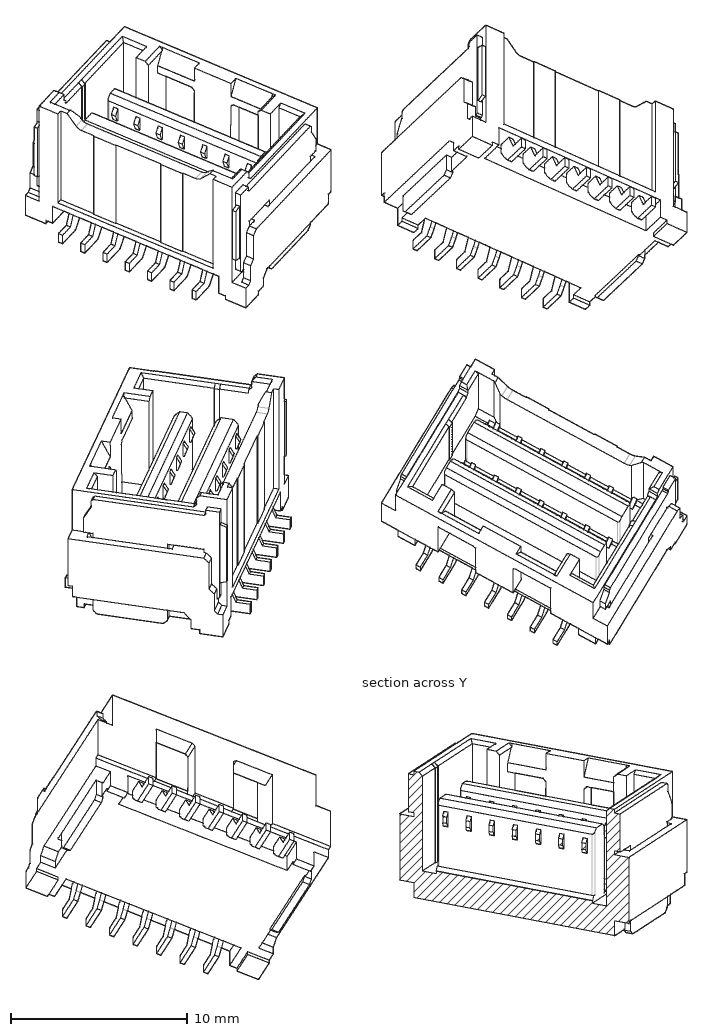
import cadquery as cq
LENGTH = 14.8
PIN_SPAN = 10.85
HEIGHT = 8.82

BODY_LENGTH = 12.95
BODY_DEPTH = 9.09
BODY_BOTTOM = 0.06
RIM_Z = 7.99
RAISED_Y = -2.77
RAISED_CHAMFER = 0.19
FLOOR_Z = 2.04
UNDERSIDE_Z = 0.31

HALF_LENGTH = LENGTH / 2
BODY_X = BODY_LENGTH / 2
BODY_Y = BODY_DEPTH / 2
REAR_STEP_Y = BODY_Y - 0.27

CAVITY_X = 5.92
CAVITY_REAR = 3.57
CAVITY_FRONT = -3.92
RIM_CHAMFER = 0.2
RIM_X = CAVITY_X + RIM_CHAMFER
RIM_REAR = CAVITY_REAR + RIM_CHAMFER

COLUMN_X = 1.23
RIB_INNER_X = 3.69
RIB_OUTER_X = 4.5
RIB_FRONT = 2.66
LATCH_FRONT = 3.67
LATCH_REAR = 4.19

RAIL_X = 5.05
RAIL_TOP = 6.45
REAR_RAIL = (1.54, 0.46)
FRONT_RAIL = (-0.89, -2.23)
RAIL_TOE = 0.13
RAIL_TOE_Z = 2.44
PLATFORM_Z = FLOOR_Z + 0.15
BASE_SLOPE = 0.15
CONTACT_ROOT = 0.45
LIP_Y = -3.58

PIN_COUNT = 7
PIN_PITCH = 1.5
PIN_WIDTH = 0.28
HALF_PIN = PIN_WIDTH / 2
PIN_RECESS_Z = 1.6
PIN_RECESS_Y = 3.11
PIN_XS = [PIN_PITCH * (i - (PIN_COUNT - 1) / 2) for i in range(PIN_COUNT)]

PLATE_TOP = 5.24
PLATE_INNER_X = 6.93
SHELF_Z = 1.57
SKIRT_Z = 1.33
CLIP_X = 6.84
CLIP_BOTTOM = 2.22
TAIL_REAR = 3.23
TAIL_FRONT = -1.14

OVERLAP = 0.07


def box(x0, x1, y0, y1, z0, z1):
    """Axis-aligned block between the given limits."""
    return cq.Workplane("XY").box(x1 - x0, y1 - y0, z1 - z0, centered=False).translate((x0, y0, z0))


def prism_x(outline, x0, x1):
    """(Y, Z) outline extruded from x0 to x1."""
    return cq.Workplane("YZ").polyline(outline).close().extrude(x1 - x0).translate((x0, 0, 0))


def prism_y(outline, y0, y1):
    """(X, Z) outline extruded from y0 to y1."""
    return cq.Workplane("XZ").polyline(outline).close().extrude(y0 - y1).translate((0, y0, 0))


def both_sides(shape):
    """The shape together with its mirror image across X = 0."""
    return shape.union(shape.mirror("YZ"))


def body_block():
    """Central block, raised along the front."""
    outline = [
        (-BODY_Y, BODY_BOTTOM),
        (REAR_STEP_Y, BODY_BOTTOM),
        (REAR_STEP_Y, FLOOR_Z),
        (BODY_Y, FLOOR_Z),
        (BODY_Y, RIM_Z),
        (RAISED_Y + RAISED_CHAMFER, RIM_Z),
        (RAISED_Y, RIM_Z + RAISED_CHAMFER),
        (RAISED_Y, HEIGHT - RAISED_CHAMFER),
        (RAISED_Y - RAISED_CHAMFER, HEIGHT),
        (-BODY_Y, HEIGHT),
    ]
    return prism_x(outline, -BODY_X, BODY_X)


def tail_slot(bottom_z):
    """Slot for the clip tail, with a lead-in slope at its rear end."""
    front_y = -1.45
    rear_y = 3.35
    lead_in = 0.2
    outline = [
        (front_y, bottom_z),
        (rear_y, bottom_z),
        (rear_y, PLATE_TOP - 2 * lead_in),
        (rear_y + lead_in, PLATE_TOP),
        (front_y, PLATE_TOP),
    ]
    return prism_x(outline, BODY_X, PLATE_INNER_X)


def front_slot():
    """Slot open to the front, with a 45 degree slope at its rear end."""
    rear_y = -2.85
    slope = 0.59
    outline = [
        (-BODY_Y, SHELF_Z),
        (rear_y - slope, SHELF_Z),
        (rear_y - slope, PLATE_TOP - slope),
        (rear_y, PLATE_TOP),
        (-BODY_Y, PLATE_TOP),
    ]
    return prism_x(outline, BODY_X, PLATE_INNER_X)


def side_plates():
    """Outer plates with a stepped front end and a relief below; only +X has a front slot."""
    nose_y = -3.73
    chin_y = -4.04
    relief_front = -2.66
    outline = [
        (-BODY_Y, BODY_BOTTOM),
        (REAR_STEP_Y, BODY_BOTTOM),
        (REAR_STEP_Y, FLOOR_Z),
        (BODY_Y, FLOOR_Z),
        (BODY_Y, PLATE_TOP),
        (-3.42, PLATE_TOP),
        (nose_y, 4.96),
        (nose_y, 3.18),
        (chin_y, 2.9),
        (chin_y, 1.76),
        (-4.23, SHELF_Z),
        (-BODY_Y, SHELF_Z),
    ]
    plate = prism_x(outline, BODY_X - OVERLAP, HALF_LENGTH)
    relief = [
        (BODY_Y, 0),
        (BODY_Y, SKIRT_Z),
        (-2.26, SKIRT_Z),
        (relief_front, 0.9),
        (relief_front, 0),
    ]
    plate = plate.cut(prism_x(relief, BODY_X, HALF_LENGTH))
    right_plate = plate.cut(tail_slot(0)).cut(front_slot())
    left_plate = plate.cut(tail_slot(CLIP_BOTTOM)).mirror("YZ")
    return right_plate.union(left_plate)


def side_walls_opening(front_y, rear_y, top_z):
    """Cavity length whose side walls end in a chamfered rim at top_z."""
    chamfer_z = top_z - RIM_CHAMFER
    outline = [
        (-CAVITY_X, FLOOR_Z),
        (CAVITY_X, FLOOR_Z),
        (CAVITY_X, chamfer_z),
        (RIM_X, top_z),
        (-RIM_X, top_z),
        (-CAVITY_X, chamfer_z),
    ]
    return prism_y(outline, front_y, rear_y)


def cavity():
    """Open cavity whose side and rear rims are chamfered."""
    step_y = RAISED_Y + RAISED_CHAMFER
    low_part = side_walls_opening(step_y, RIM_REAR, RIM_Z)
    raised_part = side_walls_opening(CAVITY_FRONT, step_y, HEIGHT)
    along = [
        (CAVITY_FRONT, FLOOR_Z),
        (CAVITY_REAR, FLOOR_Z),
        (CAVITY_REAR, RIM_Z - RIM_CHAMFER),
        (RIM_REAR, RIM_Z),
        (RIM_REAR, HEIGHT),
        (CAVITY_FRONT, HEIGHT),
    ]
    return low_part.union(raised_part).intersect(prism_x(along, -RIM_X, RIM_X))


def wall_ribs():
    """Small vertical ribs on the inner side walls, sloped at the top."""
    rib_x = 5.88
    rib_front = -0.89
    rib_rear = -0.58
    outline = [
        (RIM_X, FLOOR_Z - OVERLAP),
        (rib_x, FLOOR_Z - OVERLAP),
        (rib_x, RIM_Z - RIM_CHAMFER),
        (RIM_X, RIM_Z),
    ]
    return both_sides(prism_y(outline, rib_front, rib_rear))


def rear_wall_ribs():
    """Two guide ribs and the centre column standing on the rear wall."""
    column = box(-COLUMN_X, COLUMN_X, CAVITY_REAR, RIM_REAR, FLOOR_Z - OVERLAP, RIM_Z)
    rib = box(RIB_INNER_X, RIB_OUTER_X, RIB_FRONT, RIM_REAR, FLOOR_Z - OVERLAP, RIM_Z)
    return column.union(both_sides(rib))


def rear_wall_draft():
    """Shallow drafted recess of the rear wall between the guide ribs."""
    bottom_y = CAVITY_REAR + 0.05
    outline = [
        (CAVITY_REAR, FLOOR_Z),
        (bottom_y, FLOOR_Z),
        (LATCH_FRONT, RIM_Z),
        (CAVITY_REAR, RIM_Z),
    ]
    return prism_x(outline, -RIB_INNER_X, RIB_INNER_X)


def latch_openings():
    """Ramps in the rear wall with a window under each, and the rib chamfers beside them."""
    ramp_bottom = 7.0
    window_top = 6.45
    window_corner = 0.18
    ramp = prism_x(
        [
            (LATCH_REAR, RIM_Z),
            (CAVITY_REAR, RIM_Z),
            (CAVITY_REAR, ramp_bottom),
            (LATCH_FRONT, ramp_bottom),
        ],
        COLUMN_X, RIB_INNER_X,
    )
    window = box(COLUMN_X, RIB_INNER_X, CAVITY_REAR, BODY_Y, FLOOR_Z, window_top)
    window = window.edges("|Y and <X and >Z").chamfer(window_corner)
    rib_chamfer = prism_y(
        [
            (RIB_INNER_X, RIM_Z - RIM_CHAMFER),
            (RIB_INNER_X + RIM_CHAMFER, RIM_Z),
            (RIB_INNER_X, RIM_Z),
        ],
        RIB_FRONT, LATCH_REAR,
    )
    return both_sides(ramp.union(window).union(rib_chamfer))


def front_lip():
    """Thicker middle of the front wall and the sloped foot along its base."""
    lip_x = 4.29
    lip_base_x = 4.88
    foot_y = -3.57
    foot_height = 0.45
    plan = [
        (-lip_base_x, CAVITY_FRONT - OVERLAP),
        (-lip_base_x, CAVITY_FRONT),
        (-lip_x, LIP_Y),
        (lip_x, LIP_Y),
        (lip_base_x, CAVITY_FRONT),
        (lip_base_x, CAVITY_FRONT - OVERLAP),
    ]
    lip_bottom = FLOOR_Z - OVERLAP
    lip = cq.Workplane("XY").polyline(plan).close().extrude(HEIGHT - lip_bottom)
    foot = prism_x(
        [
            (CAVITY_FRONT, FLOOR_Z - OVERLAP),
            (foot_y, FLOOR_Z - OVERLAP),
            (foot_y, FLOOR_Z),
            (CAVITY_FRONT, FLOOR_Z + foot_height),
        ],
        -CAVITY_X, CAVITY_X,
    )
    return lip.translate((0, 0, lip_bottom)).union(foot)


def front_cuts():
    """Recessed front panel, its two slightly raised strips and the dip in the top edge."""
    panel_x = 5.21
    panel_y = -BODY_Y + 0.31
    strip_inner_x = 1.5
    strip_outer_x = 2.97
    strip_height = 0.05
    dip_x = 4.8
    dip_bottom_x = 4.04
    dip_rear_y = -2.96
    dip_fillet = 0.47
    panel = box(-panel_x, panel_x, -BODY_Y, panel_y, FLOOR_Z, HEIGHT)
    strip = box(strip_inner_x, strip_outer_x, panel_y - strip_height, panel_y, FLOOR_Z, HEIGHT)
    dip = prism_y(
        [(-dip_x, HEIGHT), (-dip_bottom_x, RIM_Z), (dip_bottom_x, RIM_Z), (dip_x, HEIGHT)],
        -BODY_Y, dip_rear_y,
    )
    dip = dip.edges("|Y").edges("<Z").fillet(dip_fillet)
    return panel.cut(both_sides(strip)).union(dip)


def underside_cuts():
    """Recesses for the solder tails and the gaps that leave a foot at each corner."""
    rear_foot_x = 5.36
    front_opening_x = 5.56
    front_foot_x = 6.02
    front_foot_y = -3.18
    rear_foot_y = 3.83
    front = box(-front_opening_x, front_opening_x, -BODY_Y, -PIN_RECESS_Y, 0, PIN_RECESS_Z)
    rear = box(-rear_foot_x, rear_foot_x, PIN_RECESS_Y, BODY_Y, 0, PIN_RECESS_Z)
    middle = box(-HALF_LENGTH, HALF_LENGTH, front_foot_y, rear_foot_y, 0, UNDERSIDE_Z)
    front_gap = box(-front_foot_x, front_foot_x, -BODY_Y, front_foot_y, 0, UNDERSIDE_Z)
    return front.union(rear).union(middle).union(front_gap)


def rail(rear_y, front_y):
    """Contact rail with sloped top edges, rounded corners and a sloped foot in front."""
    slope = 0.31
    corner = 0.12
    bottom_z = FLOOR_Z - OVERLAP
    outline = [
        (rear_y, bottom_z),
        (rear_y, RAIL_TOP - slope),
        (rear_y - slope, RAIL_TOP),
        (front_y + slope, RAIL_TOP),
        (front_y, RAIL_TOP - slope),
        (front_y, bottom_z),
    ]
    bar = prism_x(outline, -RAIL_X, RAIL_X)
    rounded = box(-RAIL_X, RAIL_X, front_y, rear_y, bottom_z, RAIL_TOP).edges("|Z").fillet(corner)
    toe = prism_x(
        [
            (front_y + slope, bottom_z),
            (front_y + slope, RAIL_TOE_Z),
            (front_y, RAIL_TOE_Z),
            (front_y - RAIL_TOE, PLATFORM_Z),
            (front_y - RAIL_TOE, bottom_z),
        ],
        -RAIL_X, RAIL_X,
    )
    return bar.intersect(rounded).union(toe)


def base_wedge(wall_y, reach, x0, x1):
    """45 degree wedge along the foot of the wall that faces a rail."""
    outline = [
        (wall_y - OVERLAP, PLATFORM_Z - OVERLAP),
        (wall_y + reach, PLATFORM_Z - OVERLAP),
        (wall_y + reach, PLATFORM_Z),
        (wall_y - OVERLAP, PLATFORM_Z + reach + OVERLAP),
    ]
    return prism_x(outline, x0, x1)


def contact_tip(pin_x, rail_front):
    """Bent contact standing proud of the front face of a rail."""
    reach = 0.24
    top_z = 5.95
    bend_z = 5.45
    bottom_z = 4.96
    outline = [
        (rail_front + OVERLAP, top_z),
        (rail_front - reach, bend_z),
        (rail_front - OVERLAP, bottom_z),
        (rail_front + OVERLAP, bottom_z),
    ]
    return prism_x(outline, pin_x - HALF_PIN, pin_x + HALF_PIN)


def front_tail(pin_x):
    """Solder tail bent down and outward from the ceiling of the front recess."""
    tip_y = -PIN_SPAN / 2
    inner_y = -3.4
    thickness = 0.65
    outline = [
        (tip_y, 0),
        (-4.03, 0),
        (-3.7, 0.45),
        (inner_y, 0.96),
        (inner_y, PIN_RECESS_Z + OVERLAP),
        (-4.15, PIN_RECESS_Z + OVERLAP),
        (-4.59, thickness),
        (tip_y, thickness),
    ]
    return prism_x(outline, pin_x - HALF_PIN, pin_x + HALF_PIN)


def clips():
    """Metal clips on both side walls, each with a front flange and a solder tail."""
    tail_chamfer = 0.24
    leg_chamfer = 0.1
    neck_z = 5.45
    edge_z = 7.77
    top_z = 8.14
    front_y = -4.2
    leg_rear = -3.29
    post_rear = -3.39
    shoulder_y = 3.33
    rear_y = 3.79
    flange_front = -4.6
    flange_root = -4.15
    outline = [
        (front_y, top_z),
        (front_y, CLIP_BOTTOM + leg_chamfer),
        (front_y + leg_chamfer, CLIP_BOTTOM),
        (leg_rear, CLIP_BOTTOM),
        (leg_rear, neck_z),
        (TAIL_FRONT, neck_z),
        (TAIL_FRONT, tail_chamfer),
        (TAIL_FRONT + tail_chamfer, 0),
        (TAIL_REAR - tail_chamfer, 0),
        (TAIL_REAR, tail_chamfer),
        (TAIL_REAR, neck_z),
        (rear_y, neck_z),
        (rear_y, 6.4),
        (shoulder_y, 7.22),
        (shoulder_y, 7.65),
        (3.21, edge_z),
        (-3.3, edge_z),
        (post_rear, 7.86),
        (post_rear, top_z),
    ]
    clip = prism_x(outline, BODY_X - OVERLAP, CLIP_X)
    flange = prism_x(
        [(flange_root, 7.28), (flange_front, 7.13), (flange_front, 3.43), (flange_root, 3.25)],
        BODY_X + OVERLAP, CLIP_X - OVERLAP,
    )
    return both_sides(clip.union(flange))


platform = box(-RAIL_X, RAIL_X, LIP_Y - OVERLAP, REAR_RAIL[0] - OVERLAP, FLOOR_Z - OVERLAP, PLATFORM_Z)

body = body_block().cut(cavity())
body = body.union(rear_wall_ribs()).cut(rear_wall_draft()).cut(latch_openings())
body = body.union(wall_ribs()).union(front_lip()).cut(front_cuts())
body = body.union(platform).union(side_plates()).cut(underside_cuts())

for rail_rear, rail_front, facing_wall in (
    (*REAR_RAIL, FRONT_RAIL[0]),
    (*FRONT_RAIL, LIP_Y),
):
    body = body.union(rail(rail_rear, rail_front))
    body = body.union(base_wedge(facing_wall, BASE_SLOPE, -RAIL_X, RAIL_X))
    for x in PIN_XS:
        body = body.union(contact_tip(x, rail_front))
        body = body.union(base_wedge(facing_wall, CONTACT_ROOT, x - HALF_PIN, x + HALF_PIN))

for x in PIN_XS:
    tail = front_tail(x)
    body = body.union(tail).union(tail.mirror("XZ"))

result = body.union(clips())